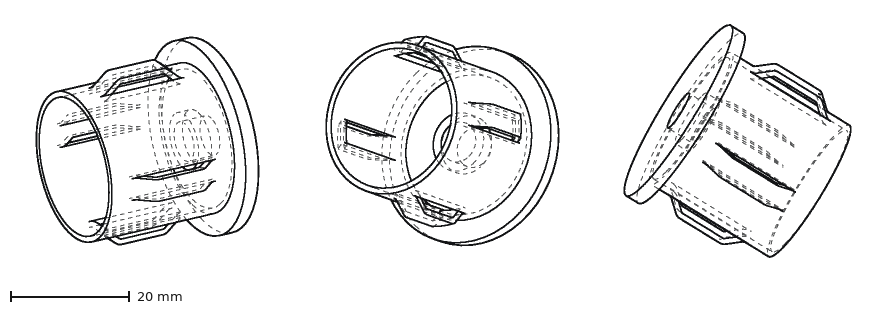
import cadquery as cq
import math

flange_diameter = 33.7
flange_thickness = 2.5
total_length = 26.2
tube_radius = 13.0
wall = 1.0

boss_diameter = 10.0
boss_height = 2.5
hole_diameter = 6.85

strap_count = 4
strap_width = 4.0
strap_start = 4.0
strap_length = 16.0
strap_radius = 15.5
ramp_length = 4.0
bend_radius = 1.5

tube_length = total_length - flange_thickness
tube_bore_radius = tube_radius - wall


def cylinder_along_y(radius, start, length):
    axis_plane = cq.Plane(origin=(0, start, 0), xDir=(1, 0, 0), normal=(0, 1, 0))
    return cq.Workplane(axis_plane).circle(radius).extrude(length)


def ramp_angle():
    """Slope of the straight that joins the foot bend tangentially to the crown bend."""
    center_rise = 2 * bend_radius - (strap_radius - tube_radius)
    center_distance = math.hypot(ramp_length, center_rise)
    return math.asin(2 * bend_radius / center_distance) - math.atan2(center_rise, ramp_length)


def ramp_points(depth):
    """Foot and crown arcs (start, middle, end) as (radius, Y), at a depth below the outer surface."""
    slope = ramp_angle()
    foot_radius = bend_radius + depth
    crown_radius = bend_radius - depth
    foot_center = tube_radius + bend_radius
    crown_center = strap_radius - bend_radius
    crown_start = strap_start + ramp_length
    foot = [
        (foot_center - foot_radius * math.cos(a), strap_start + foot_radius * math.sin(a))
        for a in (0, slope / 2, slope)
    ]
    crown = [
        (crown_center + crown_radius * math.cos(a), crown_start - crown_radius * math.sin(a))
        for a in (slope, slope / 2, 0)
    ]
    return foot, crown


def mirrored(arc):
    """Arc reflected about the middle of the strap and reversed."""
    return [(radius, 2 * strap_start + strap_length - y) for radius, y in reversed(arc)]


def strap_ring():
    """Bent strap profile revolved all the way around the Y axis."""
    outer_foot, outer_crown = ramp_points(0)
    inner_foot, inner_crown = ramp_points(wall)
    outer_arcs = [outer_foot, outer_crown, mirrored(outer_crown), mirrored(outer_foot)]
    inner_arcs = [inner_foot, inner_crown, mirrored(inner_crown), mirrored(inner_foot)]
    return_arcs = [arc[::-1] for arc in reversed(inner_arcs)]
    profile = cq.Workplane("XY").moveTo(*outer_foot[0])
    for start, middle, end in outer_arcs + return_arcs:
        if start != outer_foot[0]:
            profile = profile.lineTo(*start)
        profile = profile.threePointArc(middle, end)
    return profile.close().revolve(360, (0, 0, 0), (0, 1, 0))


def strap_windows():
    """Blocks that reach radially out through the wall at each strap."""
    windows = cq.Workplane("XY")
    for index in range(strap_count):
        block = cq.Workplane("XY").box(
            flange_diameter / 2, strap_length, strap_width, centered=(False, False, True)
        )
        block = block.translate((0, strap_start, 0))
        windows = windows.add(block.rotate((0, 0, 0), (0, 1, 0), index * 360 / strap_count))
    return windows.combine()


windows = strap_windows()

tube = cylinder_along_y(tube_radius, 0, tube_length)
tube = tube.cut(cylinder_along_y(tube_bore_radius, 0, tube_length)).cut(windows)
straps = strap_ring().intersect(windows)

flange = cylinder_along_y(flange_diameter / 2, tube_length, flange_thickness)
boss = cylinder_along_y(boss_diameter / 2, tube_length - boss_height, boss_height)
hole = cylinder_along_y(hole_diameter / 2, 0, total_length)

result = flange.union(tube).union(straps).union(boss).cut(hole)